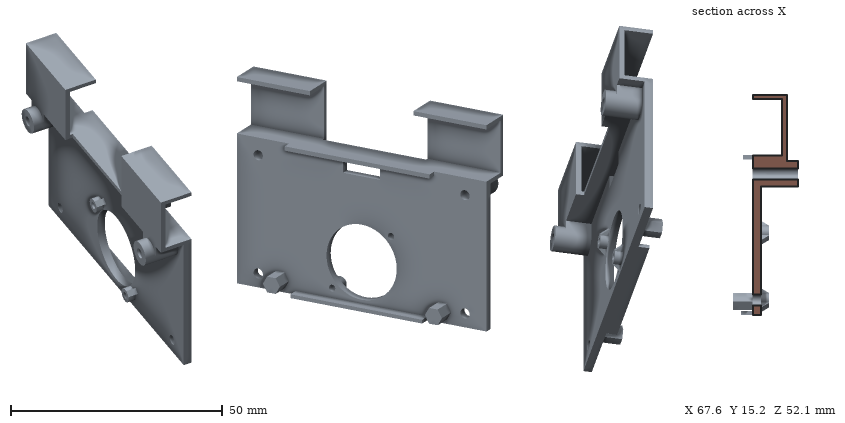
import cadquery as cq

width = 67.6
height = 52.1
plate_thickness = 2.0
sheet = 1.1

shelf_top = 37.85
shelf_bottom = shelf_top - sheet
shelf_rear_depth = 2.15
shelf_rear_length = 39.3
shelf_front = 6.2
tab_width = 19.8
tab_front = 8.2
tab_thickness = 1.3

boss_diameter = 6.15
boss_front = 10.75
hole_diameter = 2.5
hole_spacing = 56.0
lower_hole_z = 3.5
upper_hole_z = 33.4

window_width = 10.1
window_bottom = 33.1
opening_diameter = 19.0
opening_z = 11.4

stud_offset = 8.0
stud_diameter = 3.5
stud_hole_diameter = 1.7
stud_height = 1.9
rib_width = 1.55
rib_top_reach = 1.7
rib_base_reach = 3.25

post_length = 4.5
post_corner_diameter = 4.6
post_spacing = 43.9
post_z = 3.1
ledge_length = 35.7
ledge_depth = 2.65
ledge_height = 0.95


def block(x_center, x_size, y_min, y_max, z_min, z_max):
    """Axis-aligned box centred on x_center."""
    return cq.Workplane("XY").box(
        x_size, y_max - y_min, z_max - z_min, centered=(True, False, False)
    ).translate((x_center, y_min, z_min))


def rod(x, z, diameter, y_min, y_max):
    """Cylinder along Y."""
    profile = cq.Workplane("XZ", origin=(x, y_max, z)).circle(diameter / 2)
    return profile.extrude(y_max - y_min)


def hooked_tab(x_center):
    """Upright front wall, joined to the shelf, with a flange turned back over the plate."""
    wall = block(x_center, tab_width, -tab_front, tab_thickness - tab_front, shelf_bottom, height)
    flange = block(x_center, tab_width, -tab_front, 0, height - sheet, height)
    foot = block(x_center, tab_width, -tab_front, 0, shelf_bottom, shelf_top)
    return wall.union(flange).union(foot)


def mounting_boss(x):
    """Round boss joined to the shelf by a block of the same width."""
    boss = rod(x, upper_hole_z, boss_diameter, -boss_front, 0)
    web = block(x, boss_diameter, -tab_front, 0, upper_hole_z, shelf_bottom)
    return boss.union(web)


def ribbed_stud(x, z):
    """Small boss with two sloping ribs along the 45 degree diagonal."""
    rib = (
        cq.Workplane("XY")
        .moveTo(-rib_base_reach, 0)
        .lineTo(-rib_top_reach, -stud_height)
        .lineTo(rib_top_reach, -stud_height)
        .lineTo(rib_base_reach, 0)
        .close()
        .extrude(rib_width / 2, both=True)
        .rotate((0, 0, 0), (0, 1, 0), -45)
        .translate((x, -plate_thickness, z))
    )
    return rod(x, z, stud_diameter, -plate_thickness - stud_height, 0).union(rib)


def hex_post(x):
    """Hexagonal post on the back face, corners pointing along X."""
    profile = cq.Workplane("XZ", origin=(x, 0, post_z)).polygon(6, post_corner_diameter)
    return profile.extrude(-post_length)


result = block(0, width, -plate_thickness, 0, 0, shelf_top)
result = result.union(block(0, width, -shelf_front, 0, shelf_bottom, shelf_top))
result = result.union(block(0, shelf_rear_length, 0, shelf_rear_depth, shelf_bottom, shelf_top))
result = result.union(block(0, ledge_length, 0, ledge_depth, 0, ledge_height))

for side in (-1, 1):
    result = result.union(hooked_tab(side * (width - tab_width) / 2))
    result = result.union(mounting_boss(side * hole_spacing / 2))
    result = result.union(hex_post(side * post_spacing / 2))
    result = result.union(ribbed_stud(side * stud_offset, opening_z - side * stud_offset))

result = result.cut(block(0, window_width, -plate_thickness, 0, window_bottom, shelf_bottom))
result = result.cut(rod(0, opening_z, opening_diameter, -boss_front, 0))
for side in (-1, 1):
    for z in (lower_hole_z, upper_hole_z):
        result = result.cut(rod(side * hole_spacing / 2, z, hole_diameter, -boss_front, 0))
    stud_z = opening_z - side * stud_offset
    result = result.cut(rod(side * stud_offset, stud_z, stud_hole_diameter, -boss_front, post_length))